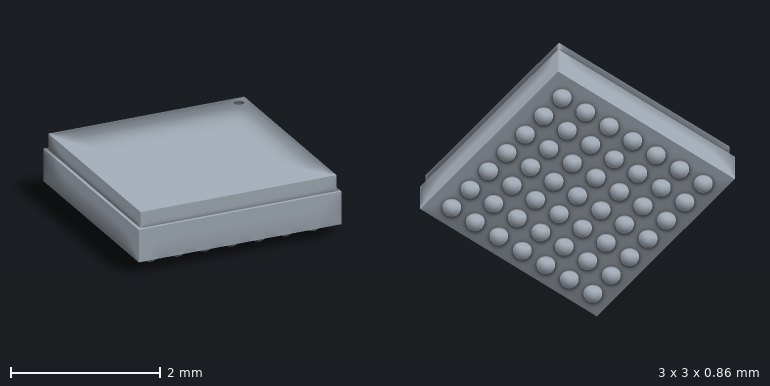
import cadquery as cq

base_side = 3
base_height = 0.475
cap_inset = 0.05
cap_side = base_side - 2 * cap_inset
cap_height = 0.23

balls_per_side = 7
ball_grid_span = 2.4
ball_pitch = ball_grid_span / (balls_per_side - 1)
ball_diameter = 0.252
ball_drop = 0.155
ball_centre_z = ball_diameter / 2 - ball_drop

mark_diameter = 0.15
mark_depth = 0.045
mark_edge_distance = 0.2
mark_offset = base_side / 2 - mark_edge_distance


def make_body():
    """Base standing on Z = 0, with the cap centred on top."""
    base = cq.Workplane("XY").box(base_side, base_side, base_height, centered=(True, True, False))
    return base.faces(">Z").workplane().rect(cap_side, cap_side).extrude(cap_height)


def make_balls():
    """Grid of spheres on the underside."""
    return (
        cq.Workplane("XY", origin=(0, 0, ball_centre_z))
        .rarray(ball_pitch, ball_pitch, balls_per_side, balls_per_side)
        .sphere(ball_diameter / 2)
    )


def cut_mark(body):
    """Sink the pin-one mark into the -X, +Y corner of the cap."""
    return (
        body.faces(">Z")
        .workplane(origin=(0, 0, 0))
        .center(-mark_offset, mark_offset)
        .hole(mark_diameter, mark_depth)
    )


result = cut_mark(make_body()).union(make_balls())